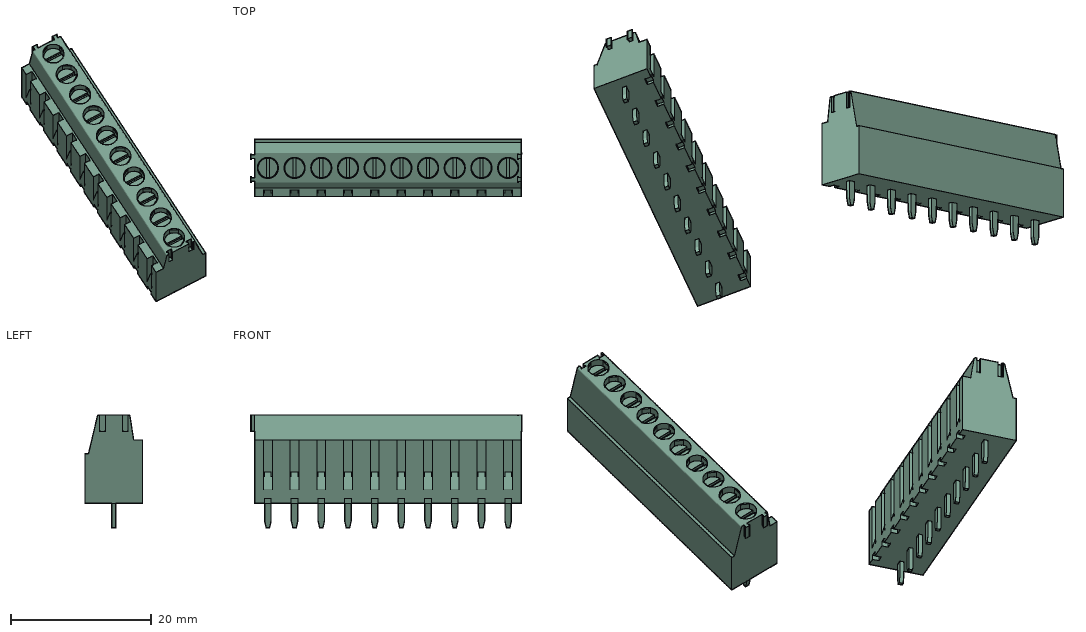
import cadquery as cq


poles = 10
pitch = 3.8
body_length = poles * pitch
body_start = -body_length / 2
body_end = body_length / 2
pole_positions = [body_start + (index + 0.5) * pitch for index in range(poles)]

body_depth = 8.2
body_height = 12.6
front = -body_depth / 2
back = body_depth / 2
front_ledge_height = 9.05
front_ledge_depth = 1.25
back_ledge_height = 7.1
back_ledge_depth = 0.5
top_inset = 1.8
top_edge_radius = 0.3

screw_hole_diameter = 3.0
screw_diameter = 2.8
screw_recess = 1.1
screw_head_height = 0.8
screw_slot_width = 0.45
screw_slot_depth = 0.5

guide_flat_count = 3
guide_flat_distance = 1.36
guide_lead_in = 0.15
first_guide_angle = 90
alternate_guide_turn = 180

channel_width = 1.25
channel_depth = 0.95
channel_floor = 2.0
ramp_top = 3.85
ramp_depth = 0.55
inner_ramp_top = 4.45
inner_ramp_width = 0.95

pin_width = 0.95
pin_thickness = 0.6
pin_length = 3.5
pin_taper_length = 1.0
pin_tip_width = 0.5
notch_height = 0.7
notch_depth = 0.95

coupling_height = 2.35
coupling_reach = 0.55
coupling_width = 0.8
coupling_neck_width = 0.55
coupling_flange = 0.15
coupling_positions = [-1.65, 1.6]
lip_reach = 0.05
lip_width = 0.1


def box(x_range, y_range, z_range):
    """Axis-aligned block spanning the three given (low, high) ranges."""
    size = [high - low for low, high in (x_range, y_range, z_range)]
    block = cq.Workplane("XY").box(*size, centered=False)
    return block.translate((x_range[0], y_range[0], z_range[0]))


def centred(position, width):
    """Range of the given width centred on a position."""
    return (position - width / 2, position + width / 2)


def make_body():
    profile = [
        (front, 0),
        (back, 0),
        (back, back_ledge_height),
        (back - back_ledge_depth, back_ledge_height),
        (back - top_inset, body_height),
        (front + top_inset, body_height),
        (front + front_ledge_depth, front_ledge_height),
        (front, front_ledge_height),
    ]
    body = cq.Workplane("YZ").polyline(profile).close().extrude(body_length)
    body = body.translate((body_start, 0, 0))
    return body.faces(">Z").edges("|X").fillet(top_edge_radius)


def make_screw_hole(x):
    """Access hole with a clearance ring around a slotted screw head."""
    head_top = body_height - screw_recess
    hole_bottom = head_top - screw_head_height
    hole = cq.Workplane("XY", origin=(x, 0, hole_bottom))
    hole = hole.circle(screw_hole_diameter / 2).extrude(body_height - hole_bottom)
    head = cq.Workplane("XY", origin=(x, 0, hole_bottom))
    head = head.circle(screw_diameter / 2).extrude(screw_head_height)
    slot = box(
        centred(x, screw_slot_width),
        centred(0, screw_diameter),
        (head_top - screw_slot_depth, head_top),
    )
    return hole.cut(head.cut(slot))


def make_guide_flats(x, first_angle):
    """Shallow ribs closing segments of a screw hole, with sloped tops at the rim."""
    hole_radius = screw_hole_diameter / 2
    hole_bottom = body_height - screw_recess - screw_head_height
    profile = [
        (guide_flat_distance, hole_bottom),
        (hole_radius, hole_bottom),
        (hole_radius, body_height),
        (guide_flat_distance, body_height - guide_lead_in),
    ]
    segment = cq.Workplane("XZ").polyline(profile).close().extrude(hole_radius, both=True)
    flats = cq.Workplane("XY")
    for index in range(guide_flat_count):
        angle = first_angle + index * 360 / guide_flat_count
        flats = flats.add(segment.rotate((0, 0, 0), (0, 0, 1), angle))
    flats = flats.combine()
    bore = cq.Workplane("XY", origin=(0, 0, hole_bottom))
    bore = bore.circle(hole_radius).extrude(body_height - hole_bottom)
    return flats.intersect(bore).translate((x, 0, 0))


def make_channel(x):
    """Open-topped channel with a steep ramp, a small ledge and a narrower ramp on that ledge."""
    channel_back = front + channel_depth
    ramp_back = front + ramp_depth
    outer_profile = [
        (front, channel_floor),
        (ramp_back, ramp_top),
        (channel_back, ramp_top),
        (channel_back, front_ledge_height),
        (front, front_ledge_height),
    ]
    channel = cq.Workplane("YZ").polyline(outer_profile).close().extrude(channel_width)
    channel = channel.translate((x - channel_width / 2, 0, 0))
    ramp_profile = [
        (ramp_back, ramp_top),
        (channel_back, ramp_top),
        (channel_back, inner_ramp_top),
    ]
    ramp = cq.Workplane("YZ").polyline(ramp_profile).close().extrude(inner_ramp_width)
    ramp = ramp.translate((x - inner_ramp_width / 2, 0, 0))
    return channel.cut(ramp)


def make_notch(x):
    """Slot under the body open to the front face."""
    return box(centred(x, pin_width), (front, front + notch_depth), (0, notch_height))


def make_pin(x):
    """Flat pin with a tapered tip."""
    shoulder = pin_taper_length - pin_length
    profile = [
        (x - pin_width / 2, notch_height),
        (x - pin_width / 2, shoulder),
        (x - pin_tip_width / 2, -pin_length),
        (x + pin_tip_width / 2, -pin_length),
        (x + pin_width / 2, shoulder),
        (x + pin_width / 2, notch_height),
    ]
    return cq.Workplane("XZ").polyline(profile).close().extrude(pin_thickness / 2, both=True)


def make_coupling(end_x, y):
    """T-shaped prism reaching from its flange at -X to the end face at end_x."""
    tip = end_x - coupling_reach
    flange_inner = tip + coupling_flange
    heights = (body_height - coupling_height, body_height)
    flange = box((tip, flange_inner), centred(y, coupling_width), heights)
    neck = box((tip, end_x), centred(y, coupling_neck_width), heights)
    return flange.union(neck)


def make_lip():
    """Thin rib on the +X end beside the rear groove."""
    y = coupling_positions[1] + coupling_width / 2
    return box(
        (body_end, body_end + lip_reach),
        (y, y + lip_width),
        (body_height - coupling_height, body_height),
    )


result = make_body()
for index, pole_x in enumerate(pole_positions):
    guide_angle = first_guide_angle + (index % 2) * alternate_guide_turn
    hole = make_screw_hole(pole_x).cut(make_guide_flats(pole_x, guide_angle))
    result = result.cut(hole)
    result = result.cut(make_channel(pole_x))
    result = result.cut(make_notch(pole_x))
    result = result.union(make_pin(pole_x))
for coupling_y in coupling_positions:
    result = result.union(make_coupling(body_start, coupling_y))
    result = result.cut(make_coupling(body_end, coupling_y))
result = result.union(make_lip())